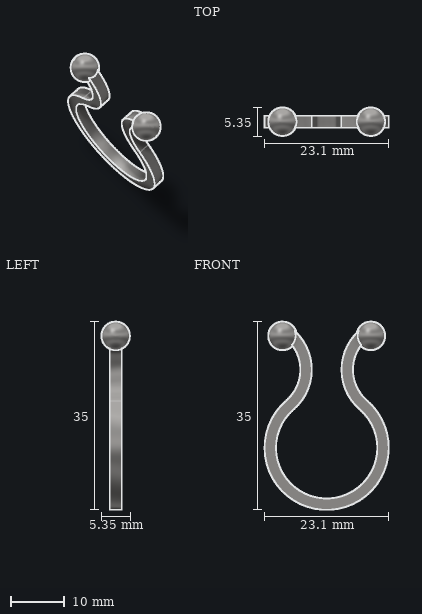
import cadquery as cq
import math

total_height = 34.98
ring_outer_radius = 11.55
band_thickness = 2.17
band_width = 2.27
ball_radius = 2.675
ball_offset = 8.2
neck_half_gap = 2.73
neck_height = 26.03
arm_end_angle = 128.0

ring_mid_radius = ring_outer_radius - band_thickness / 2
ring_center_z = ring_outer_radius
neck_mid_x = neck_half_gap + band_thickness / 2
rise = neck_height - ring_center_z
arm_mid_radius = (neck_mid_x**2 + rise**2 - ring_mid_radius**2) / (2 * (ring_mid_radius - neck_mid_x))
arm_center_x = neck_mid_x + arm_mid_radius
joint_angle = math.degrees(math.atan2(rise, arm_center_x))
ball_center_z = total_height - ball_radius


def ring_point(radius, angle):
    a = math.radians(angle)
    return (radius * math.cos(a), ring_center_z + radius * math.sin(a))


def arm_point(radius, angle, side):
    """Point on an arm arc; side is 1 for the +X arm and -1 for the -X arm."""
    a = math.radians(angle)
    return (side * (arm_center_x + radius * math.cos(a)), neck_height + radius * math.sin(a))


def make_band():
    half = band_thickness / 2
    ring_outer = ring_mid_radius + half
    ring_inner = ring_mid_radius - half
    arm_far = arm_mid_radius + half
    arm_near = arm_mid_radius - half
    arm_start_angle = 180 + joint_angle
    arm_middle_angle = (arm_start_angle + arm_end_angle) / 2
    return (
        cq.Workplane("XZ")
        .moveTo(*arm_point(arm_far, arm_end_angle, 1))
        .lineTo(*arm_point(arm_near, arm_end_angle, 1))
        .threePointArc(arm_point(arm_near, arm_middle_angle, 1), ring_point(ring_outer, joint_angle))
        .threePointArc(ring_point(ring_outer, -90), ring_point(ring_outer, 180 - joint_angle))
        .threePointArc(arm_point(arm_near, arm_middle_angle, -1), arm_point(arm_near, arm_end_angle, -1))
        .lineTo(*arm_point(arm_far, arm_end_angle, -1))
        .threePointArc(arm_point(arm_far, arm_middle_angle, -1), ring_point(ring_inner, 180 - joint_angle))
        .threePointArc(ring_point(ring_inner, -90), ring_point(ring_inner, joint_angle))
        .threePointArc(arm_point(arm_far, arm_middle_angle, 1), arm_point(arm_far, arm_end_angle, 1))
        .close()
        .extrude(band_width / 2, both=True)
    )


def make_ball(side):
    return cq.Workplane("XY").sphere(ball_radius).translate((side * ball_offset, 0, ball_center_z))


result = make_band()
for side in (-1, 1):
    result = result.union(make_ball(side))